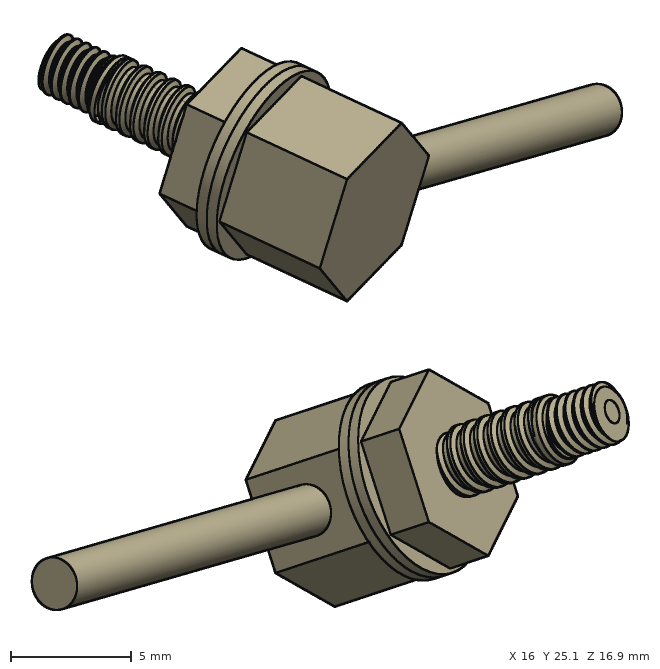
import cadquery as cq
import math


hex_flats = 7.01
hex_corners = hex_flats / math.cos(math.radians(30))
front_hex_length = 1.99
disc_thickness = 0.5
disc_diameter = 8.5
disc_count = 2
housing_length = 8.0

stud_length = 8.0
fine_length = 2.61
fine_crest_diameter = 2.65
fine_root_diameter = 2.14
fine_pitch = 0.45
fine_crest_width = 0.05
fine_base_width = 0.35
fine_crest_offset = 0.2
coarse_length = stud_length - fine_length
coarse_crest_diameter = 3.0
coarse_root_diameter = 2.51
coarse_pitch = 0.7
coarse_crest_width = 0.18
coarse_base_width = 0.45
coarse_crest_offset = 0.28
collar_length = 0.43
collar_chamfer = 0.18
thread_overlap = 0.05
extra_turns = 2

pin_diameter = 1.0

cable_diameter = 2.2
cable_end_distance = 23.48
cable_offset = 5.5
cable_angle = math.radians(-30)


def round_bar(x_start, length, diameter):
    return cq.Workplane("YZ", origin=(x_start, 0, 0)).circle(diameter / 2).extrude(length)


def hex_bar(x_start, length):
    return cq.Workplane("YZ", origin=(x_start, 0, 0)).polygon(6, hex_corners).extrude(length)


def threaded_bar(length, crest_diameter, root_diameter, pitch, crest_width, base_width, crest_offset):
    """Right-hand threaded bar along +Z from the origin, with crests at +X every pitch."""
    crest_radius = crest_diameter / 2
    root_radius = root_diameter / 2
    inner_radius = root_radius - thread_overlap
    flank_slope = (base_width - crest_width) / (crest_radius - root_radius)
    buried_width = base_width + flank_slope * thread_overlap
    z_start = crest_offset - extra_turns * pitch
    ridge_height = length + 2 * extra_turns * pitch
    helix = cq.Wire.makeHelix(pitch, ridge_height, root_radius).translate(cq.Vector(0, 0, z_start))
    ridge = (
        cq.Workplane("XZ")
        .polyline([
            (inner_radius, z_start - buried_width / 2),
            (crest_radius, z_start - crest_width / 2),
            (crest_radius, z_start + crest_width / 2),
            (inner_radius, z_start + buried_width / 2),
        ])
        .close()
        .sweep(cq.Workplane(obj=helix), isFrenet=True)
    )
    envelope = cq.Workplane("XY").circle(crest_diameter).extrude(length)
    core = cq.Workplane("XY", origin=(0, 0, z_start - pitch)).circle(root_radius)
    core = core.extrude(ridge_height + 2 * pitch)
    return core.union(ridge).intersect(envelope)


def along_axis(bar, x_start):
    """Turn a bar from +Z to +X, its +X side going to +Z, and move it to x_start."""
    turned = bar.rotate((0, 0, 0), (0, 0, 1), 180).rotate((0, 0, 0), (0, 1, 0), 90)
    return turned.translate((x_start, 0, 0))


def make_disc(index):
    return round_bar(front_hex_length + index * disc_thickness, disc_thickness, disc_diameter)


def make_pin():
    return round_bar(-stud_length, stud_length, pin_diameter)


def make_fine_stud():
    bar = threaded_bar(fine_length, fine_crest_diameter, fine_root_diameter, fine_pitch,
                       fine_crest_width, fine_base_width, fine_crest_offset)
    return along_axis(bar, -stud_length).cut(make_pin())


def make_coarse_stud():
    collar = round_bar(-coarse_length, collar_length, coarse_crest_diameter)
    collar = collar.faces("<X").chamfer(collar_chamfer)
    thread_length = coarse_length - collar_length
    bar = threaded_bar(thread_length, coarse_crest_diameter, coarse_root_diameter, coarse_pitch,
                       coarse_crest_width, coarse_base_width, coarse_crest_offset)
    return along_axis(bar, -thread_length).union(collar).cut(make_pin())


def make_cable():
    direction = cq.Vector(0, math.cos(cable_angle), math.sin(cable_angle))
    base = cq.Vector(cable_offset, 0, 0) + direction * (hex_flats / 2)
    plane = cq.Plane(origin=base, xDir=(1, 0, 0), normal=direction)
    return cq.Workplane(plane).circle(cable_diameter / 2).extrude(cable_end_distance - hex_flats / 2)


rear_hex_start = front_hex_length + disc_count * disc_thickness

front_hex = hex_bar(0, front_hex_length)
rear_hex = hex_bar(rear_hex_start, housing_length - rear_hex_start)
discs = [make_disc(index) for index in range(disc_count)]
fine_stud = make_fine_stud()
coarse_stud = make_coarse_stud()
pin = make_pin()
cable = make_cable()

result = cq.Compound.makeCompound([
    front_hex.val(),
    rear_hex.val(),
    *[disc.val() for disc in discs],
    *fine_stud.vals(),
    *coarse_stud.vals(),
    pin.val(),
    cable.val(),
])